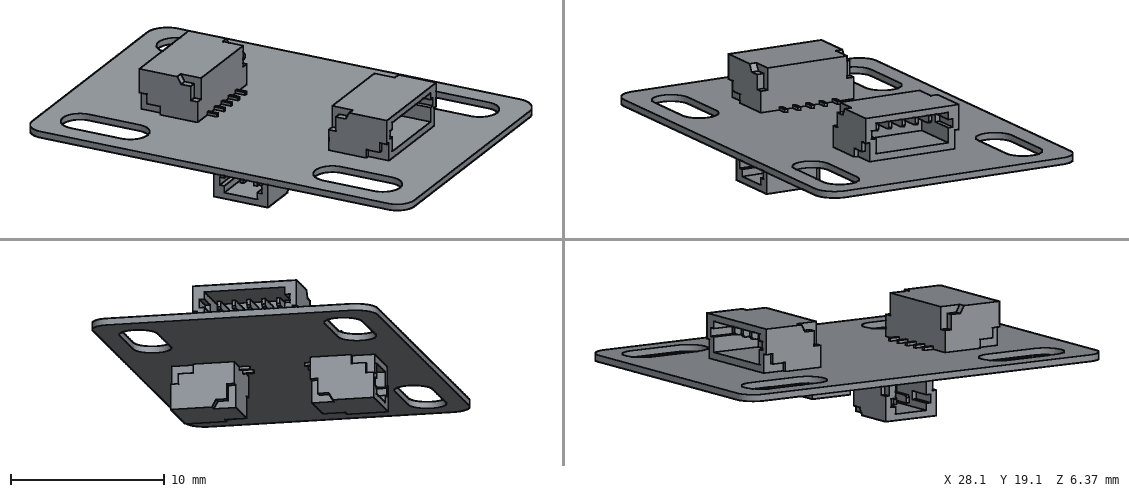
import cadquery as cq

board_length = 28.07
board_width = 19.05
board_thickness = 0.45
front_corner_radius = 1.25
rear_corner_radius = 1.5
overall_height = 6.37

slot_length = 6.2
slot_width = 2.53
slot_centres = [(-9.55, 7.0), (9.15, 6.88), (-9.4, -6.85), (9.15, -6.88)]

five_pin_count = 5
two_pin_count = 2
five_pin_span = 3.99
pin_pitch = five_pin_span / (five_pin_count - 1)
shell_height = (overall_height - board_thickness) / 2
shell_depth = 4.27
shell_end_margin = 2 * pin_pitch
shell_side_wall = 0.79
cavity_floor = 0.48
cavity_roof = 2.53
cavity_back_wall = 0.79

key_depth = 0.35
key_length = 1.68
key_bottom = 1.5
key_top = 2.05

front_relief_width = 0.28
front_step_depth = 0.53
front_step_height = 1.25
front_foot_depth = 1.52
front_foot_height = 0.6

rear_relief_width = 0.5
rear_step_depth = 0.5
rear_step_height = 1.45
rear_shelf_depth = 1.2
rear_shelf_height = 2.47
rear_slope_depth = 1.5

pin_width = 0.22
pin_bottom = 1.63
pin_top = 2.13
pin_tip_depth = 1.12
pin_tip_chamfer = 0.15
lead_length = 0.7
lead_height = 0.2

left_rear_x = -4.35
left_centre_y = -0.03
right_rear_x = 5.33
right_centre_y = -0.1
two_pin_rear_y = 2.55
two_pin_centre_x = 0.53


def box(x_start, x_end, y_start, y_end, z_start, z_end):
    """Axis-aligned block between the given limits."""
    return cq.Workplane("XY").box(
        x_end - x_start, y_end - y_start, z_end - z_start, centered=False
    ).translate((x_start, y_start, z_start))


def make_board():
    """Rounded plate, centred on the origin, with four mounting slots."""
    plate = cq.Workplane("XY").box(board_length, board_width, board_thickness)
    plate = plate.faces("<Y").edges("|Z").fillet(front_corner_radius)
    plate = plate.faces(">Y").edges("|Z").fillet(rear_corner_radius)
    slots = (
        cq.Workplane("XY")
        .workplane(offset=-board_thickness)
        .pushPoints(slot_centres)
        .slot2D(slot_length, slot_width)
        .extrude(2 * board_thickness)
    )
    return plate.cut(slots)


def side_relief(profile, relief_width, half_width):
    """Profile in the depth-height plane, cut into both sides of the shell."""
    prism = cq.Workplane("YZ").polyline(profile).close().extrude(relief_width)
    near_side = prism.translate((-half_width, 0, 0))
    far_side = prism.translate((half_width - relief_width, 0, 0))
    return near_side.union(far_side)


def make_cavity(half_width):
    """Mating cavity open at the mouth, widened by a shorter key slot on each side."""
    half_cavity = half_width - shell_side_wall
    half_key = half_cavity + key_depth
    cavity_end = shell_depth - cavity_back_wall
    cavity = box(-half_cavity, half_cavity, 0, cavity_end, cavity_floor, cavity_roof)
    keys = box(-half_key, half_key, 0, key_length, key_bottom, key_top)
    return cavity.union(keys)


def make_pin():
    """Contact pin rooted in the back wall, with its lower tip edge chamfered."""
    half_pin = pin_width / 2
    pin_root = shell_depth - cavity_back_wall / 2
    pin = box(-half_pin, half_pin, pin_tip_depth, pin_root, pin_bottom, pin_top)
    return pin.faces("<Y").edges("<Z").chamfer(pin_tip_chamfer)


def make_lead():
    """Flat solder lead leaving the rear of the shell along the board."""
    half_pin = pin_width / 2
    lead_root = shell_depth - cavity_back_wall / 2
    return box(-half_pin, half_pin, lead_root, shell_depth + lead_length, 0, lead_height)


def make_connector(pin_count):
    """Connector seated on Z = 0, its mouth at Y = 0 facing -Y and centred on X = 0."""
    half_width = (pin_count * pin_pitch + shell_end_margin) / 2
    front_profile = [
        (0, 0),
        (front_foot_depth, 0),
        (front_foot_depth, front_foot_height),
        (front_step_depth, front_foot_height),
        (front_step_depth, front_step_height),
        (0, front_step_height),
    ]
    rear_profile = [
        (shell_depth, rear_step_height),
        (shell_depth, shell_height),
        (shell_depth - rear_slope_depth, shell_height),
        (shell_depth - rear_shelf_depth, rear_shelf_height),
        (shell_depth - rear_step_depth, rear_shelf_height),
        (shell_depth - rear_step_depth, rear_step_height),
    ]
    connector = box(-half_width, half_width, 0, shell_depth, 0, shell_height)
    connector = connector.cut(side_relief(front_profile, front_relief_width, half_width))
    connector = connector.cut(side_relief(rear_profile, rear_relief_width, half_width))
    connector = connector.cut(make_cavity(half_width))
    for index in range(pin_count):
        pin_x = (index - (pin_count - 1) / 2) * pin_pitch
        connector = connector.union(make_pin().translate((pin_x, 0, 0)))
        connector = connector.union(make_lead().translate((pin_x, 0, 0)))
    return connector


def place_connector(connector, rear_x, rear_y, turn, underside=False):
    """Turn a connector about its rear centre, seat it on a board face and move it into place."""
    placed = connector.translate((0, -shell_depth, board_thickness / 2))
    if underside:
        placed = placed.rotate((0, 0, 0), (0, 1, 0), 180)
    return placed.rotate((0, 0, 0), (0, 0, 1), turn).translate((rear_x, rear_y, 0))


board = make_board()

five_pin = make_connector(five_pin_count)
five_pin_connectors = [
    place_connector(five_pin, left_rear_x, left_centre_y, -90),
    place_connector(five_pin, right_rear_x, right_centre_y, 90),
]

two_pin = make_connector(two_pin_count)
two_pin_connectors = [
    place_connector(two_pin, two_pin_centre_x, -two_pin_rear_y, 0, underside=True),
    place_connector(two_pin, two_pin_centre_x, two_pin_rear_y, 180, underside=True),
]

connectors = five_pin_connectors + two_pin_connectors
result = cq.Compound.makeCompound([board.val(), *[connector.val() for connector in connectors]])